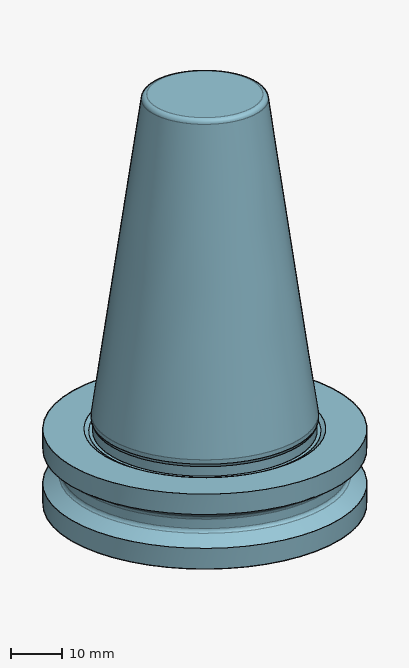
import cadquery as cq
import math

total_height = 92.9
nose_height = 5.2
groove_bottom = 9.7
groove_top = 16.9
flange_top = 21.3
neck_top = 22.85
collar_bottom = 23.5
collar_top = 24.4

nose_tip_radius = 17.3
nose_base_radius = 23.6
flange_radius = 31.8
groove_floor_radius = 28.15
recess_radius = 23.7
recess_floor_radius = 22.8
neck_radius = 22.0
collar_radius = 22.3
taper_end_radius = 12.4

groove_wall_angle = 30.0
groove_fillet = 0.9
tip_fillet = 1.1
recess_depth = 0.5

groove_wall_rise = (flange_radius - groove_floor_radius) * math.tan(math.radians(groove_wall_angle))


def revolve_profile(points):
    """Revolve (radius, height) points about the vertical axis."""
    return cq.Workplane("XZ").polyline(points).close().revolve(360, (0, 0, 0), (0, 1, 0))


def make_flange():
    """Grooved flange with the conical nose below it."""
    flange = revolve_profile([
        (0, 0),
        (nose_tip_radius, 0),
        (nose_base_radius, nose_height),
        (flange_radius, nose_height),
        (flange_radius, groove_bottom),
        (groove_floor_radius, groove_bottom + groove_wall_rise),
        (groove_floor_radius, groove_top - groove_wall_rise),
        (flange_radius, groove_top),
        (flange_radius, flange_top),
        (0, flange_top),
    ])
    floor_zone = cq.selectors.BoxSelector(
        (-flange_radius, -flange_radius, groove_bottom + groove_wall_rise / 2),
        (flange_radius, flange_radius, groove_top - groove_wall_rise / 2),
    )
    return flange.edges("%CIRCLE").edges(floor_zone).fillet(groove_fillet)


def make_shank():
    """Neck, collar and long taper with a rounded tip."""
    shank = revolve_profile([
        (0, nose_height),
        (neck_radius, nose_height),
        (neck_radius, neck_top),
        (collar_radius, collar_bottom),
        (collar_radius, collar_top),
        (taper_end_radius, total_height),
        (0, total_height),
    ])
    return shank.faces(">Z").edges().fillet(tip_fillet)


def make_recess():
    """Shallow ring around the neck, sloping in to a flat floor."""
    recess_floor = flange_top - recess_depth
    return revolve_profile([
        (neck_radius, recess_floor),
        (recess_floor_radius, recess_floor),
        (recess_radius, flange_top),
        (neck_radius, flange_top),
    ])


result = make_flange().cut(make_recess()).union(make_shank())